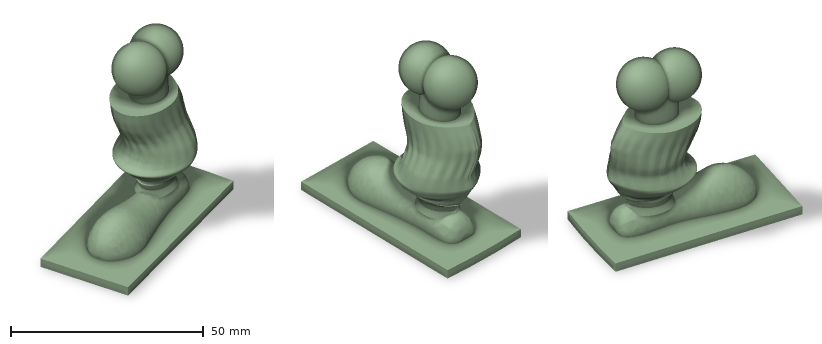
import cadquery as cq
import math

plate_width = 26.54
plate_length = 55.32
plate_height = 2.65
plate_edge_bow = 0.4
plate_front_taper = 0.4

knee_top = 54.85
knee_x = -1.7
knee_y = 8.35
ball_radius = 7.15
ball_spacing = 9.1
ball_z = knee_top - ball_radius
neck_y = 9.0
neck_bottom_radii = (5.0, 6.0)
neck_top_radii = (4.4, 5.9)

trouser_top = 37.1
trouser_bottom = 12.2
ankle_joint = (-4.5, 5.0, 4.1, 18.0)
trouser_sections = [
    (trouser_top, -10.9, 6.1, -3.0, 19.1),
    (34.0, -10.7, 6.1, -2.9, 21.2),
    (31.0, -10.5, 6.3, -2.1, 22.5),
    (28.0, -10.6, 6.9, -0.3, 22.4),
    (26.0, -10.6, 8.0, 0.8, 22.1),
    (23.0, -9.6, 9.7, 0.8, 21.8),
    (21.3, -10.2, 10.2, 0.6, 21.9),
    (19.7, -11.0, 10.6, -0.6, 22.5),
    (18.2, -11.0, 10.7, -2.7, 21.8),
    (16.7, -9.7, 9.8, -0.8, 20.8),
    (15.2, -8.0, 7.2, 0.5, 20.0),
    (14.1, -6.2, 7.2, 1.6, 19.4),
    (trouser_bottom, *ankle_joint),
]
trouser_levels = 28
back_narrowing = 0.45

pleat_count = 22
pleat_depth = 0.35
pleat_bottom = 19.0
points_per_pleat = 4

ankle_sections = [
    (trouser_bottom, *ankle_joint),
    (11.5, -4.9, 4.9, 3.4, 17.2),
    (9.6, -4.5, 4.5, 4.1, 16.4),
    (7.6, -5.2, 5.2, 3.0, 17.4),
]

shoe_sections = [
    (20.6, 0.1, 1.8, 1.8),
    (20.2, 0.1, 3.4, 3.4),
    (19.0, 0.2, 4.6, 5.1),
    (16.5, 0.2, 5.3, 6.2),
    (10.0, 0.3, 5.3, 5.9),
    (3.5, 0.6, 5.4, 6.2),
    (-5.0, 0.6, 6.6, 7.9),
    (-11.5, 0.7, 7.3, 9.1),
    (-15.5, 0.5, 6.6, 7.8),
    (-18.4, 0.3, 4.8, 5.5),
    (-20.0, 0.2, 2.8, 3.3),
    (-20.5, 0.2, 0.8, 1.0),
]
shoe_outline_points = 16


def make_plate():
    """Flat plate centred on the origin, standing on Z = 0."""
    half_width = plate_width / 2
    half_length = plate_length / 2
    corner_y = half_length - plate_edge_bow
    return (
        cq.Workplane("XY")
        .moveTo(-half_width, -half_length)
        .lineTo(half_width - plate_front_taper, -half_length)
        .lineTo(half_width, corner_y)
        .threePointArc((0, half_length), (-half_width, corner_y))
        .close()
        .extrude(plate_height)
    )


def level_outline(z, left, right, front, back, pleat=0.0):
    """Closed smooth outline in a level plane; the back half narrows toward its tip."""
    mid_x = (left + right) / 2
    mid_y = (front + back) / 2
    half_width = (right - left) / 2
    half_depth = (back - front) / 2
    point_count = pleat_count * points_per_pleat
    points = []
    for step in range(point_count):
        angle = 2 * math.pi * step / point_count
        across = math.cos(angle)
        along = math.sin(angle)
        if along > 0:
            across *= abs(across) ** back_narrowing
        inset = pleat * (1 - math.cos(pleat_count * angle)) / 2
        x = mid_x + (half_width - inset) * across
        y = mid_y + (half_depth - inset) * along
        points.append(cq.Vector(x, y, z))
    return cq.Wire.assembleEdges([cq.Edge.makeSpline(points, periodic=True)])


def trouser_extremes(z):
    """Left, right, front and back extremes at a height, blended between the two nearest sections."""
    for upper, lower in zip(trouser_sections, trouser_sections[1:]):
        if z >= lower[0]:
            share = (z - lower[0]) / (upper[0] - lower[0])
            return [low + share * (high - low) for low, high in zip(lower[1:], upper[1:])]
    return ankle_joint


def make_trouser():
    """Pleated cloth leg, lofted smoothly through evenly spaced outlines."""
    outlines = []
    for level in range(trouser_levels + 1):
        z = trouser_top + (trouser_bottom - trouser_top) * level / trouser_levels
        pleat = 0.0
        if z > pleat_bottom:
            pleat = pleat_depth * math.sin(math.pi * (z - pleat_bottom) / (trouser_top - pleat_bottom))
        outlines.append(level_outline(z, *trouser_extremes(z), pleat))
    return cq.Workplane(cq.Solid.makeLoft(outlines))


def make_ankle():
    """Ankle with straight flanks, sunk into the shoe and joined to the trouser above."""
    outlines = [level_outline(*section) for section in ankle_sections]
    return cq.Workplane(cq.Solid.makeLoft(outlines, True))


def upright_outline(y, center_x, half_width, height):
    """Oval in an XZ plane, centred on the plate's top face."""
    points = []
    for step in range(shoe_outline_points):
        angle = 2 * math.pi * step / shoe_outline_points
        x = center_x + half_width * math.cos(angle)
        z = plate_height + height * math.sin(angle)
        points.append(cq.Vector(x, y, z))
    return cq.Wire.assembleEdges([cq.Edge.makeSpline(points, periodic=True)])


def make_shoe():
    """Loft of upright ovals, of which only the half above the plate is kept."""
    outlines = [upright_outline(*section) for section in shoe_sections]
    above_plate = (
        cq.Workplane("XY", origin=(0, 0, plate_height))
        .rect(plate_width, plate_length)
        .extrude(trouser_bottom)
    )
    return cq.Workplane(cq.Solid.makeLoft(outlines)).intersect(above_plate)


def make_knee():
    """Neck standing on the trouser's top face, with a ball in front and one behind."""
    body = (
        cq.Workplane("XY", origin=(knee_x, neck_y, trouser_top))
        .ellipse(*neck_bottom_radii)
        .workplane(offset=ball_z - trouser_top)
        .ellipse(*neck_top_radii)
        .loft()
    )
    for side in (-1, 1):
        ball_y = knee_y + side * ball_spacing / 2
        body = body.union(cq.Workplane("XY", origin=(knee_x, ball_y, ball_z)).sphere(ball_radius))
    return body


leg = make_plate().union(make_shoe()).union(make_ankle()).union(make_trouser())
knee = make_knee()
result = cq.Compound.makeCompound([leg.val(), knee.val()])